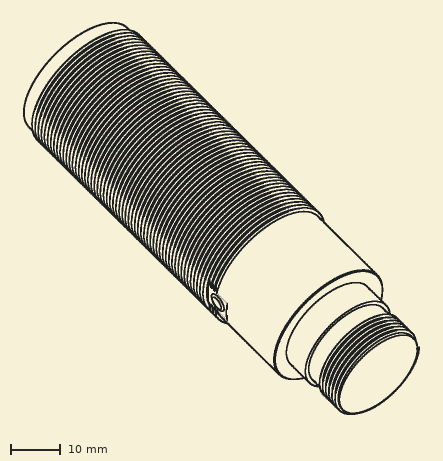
import cadquery as cq
import math

barrel_radius = 14.0
barrel_end = 80.0
barrel_chamfer = 0.2
collar_radius = 10.9
collar_end = 86.0
neck_radius = 10.1
neck_end = 95.8

ridge_base = 0.7
ridge_root = 0.1
barrel_ridge_height = 0.7
barrel_thread_start = 3.0
barrel_thread_length = 58.5
barrel_thread_turns = 59
barrel_thread_stretches = 5
neck_ridge_height = 0.6
neck_thread_turns = 6
overall_length = 96
pitch = barrel_thread_length / barrel_thread_turns

flat_center = 61.5
flat_length = 6.1
flat_depth = 0.3
flat_y = barrel_radius - flat_depth

lamp_base_radius = 2.0
lamp_top_radius = 1.4
lamp_height = 0.3


def make_cylinder(start, end, radius):
    """Round bar along the X axis."""
    return cq.Workplane("YZ", origin=(start, 0, 0)).circle(radius).extrude(end - start)


def root_half_width(height):
    """Half the width of a ridge at its root, inside the core."""
    return ridge_base / 2 * (1 + ridge_root / height)


def make_ridge(core_radius, height, start, turns):
    """Triangular ridge wound around the X axis from the +Y side, rooted in a core."""
    axis_plane = cq.Plane(origin=(start, 0, 0), xDir=(0, 1, 0), normal=(1, 0, 0))
    helix = cq.Wire.makeHelix(pitch, turns * pitch, core_radius).moved(axis_plane.location)
    half_width = root_half_width(height)
    return (
        cq.Workplane("XY")
        .polyline(
            [
                (start - half_width, core_radius - ridge_root),
                (start, core_radius + height),
                (start + half_width, core_radius - ridge_root),
            ]
        )
        .close()
        .sweep(cq.Workplane(helix), isFrenet=True)
    )


def make_barrel_ridges():
    """The barrel ridge as equal stretches, each starting at the angle where the last one ends."""
    stretch_turns = barrel_thread_turns / barrel_thread_stretches
    ridges = []
    for index in range(barrel_thread_stretches):
        turns_before = index * stretch_turns
        start = barrel_thread_start + turns_before * pitch
        ridge = make_ridge(barrel_radius, barrel_ridge_height, start, stretch_turns)
        ridges.append(ridge.rotate((0, 0, 0), (1, 0, 0), 360 * turns_before).val())
    return ridges


def make_flat_cutter():
    """Block that removes everything outside the flat, on the -Y side."""
    cutter_depth = 2 * (flat_depth + barrel_ridge_height)
    return cq.Workplane("XY", origin=(flat_center, -flat_y - cutter_depth / 2, 0)).box(
        flat_length, cutter_depth, 2 * barrel_radius
    )


def make_housing():
    """Threaded barrel with the lamp flat cut across its thread run-out."""
    barrel = make_cylinder(0, barrel_end, barrel_radius).faces(">X").chamfer(barrel_chamfer).solids()
    threaded_barrel = barrel.val().fuse(*make_barrel_ridges())
    return cq.Workplane(threaded_barrel).cut(make_flat_cutter()).solids()


def make_collar():
    """Plain solid disc between the housing and the connector."""
    return make_cylinder(barrel_end, collar_end, collar_radius)


def make_connector():
    """Neck with a short thread whose last turn reaches just past the end face."""
    neck = make_cylinder(collar_end, neck_end, neck_radius)
    thread_length = neck_thread_turns * pitch
    thread_start = overall_length - root_half_width(neck_ridge_height) - thread_length
    ridge = make_ridge(neck_radius, neck_ridge_height, thread_start, neck_thread_turns)
    return neck.union(ridge).solids()


def make_lamp():
    """Cone standing on the flat and pointing to -Y."""
    side_angle = math.degrees(math.atan2(lamp_base_radius - lamp_top_radius, lamp_height))
    return (
        cq.Workplane("XZ", origin=(flat_center, -flat_y, 0))
        .circle(lamp_base_radius)
        .extrude(lamp_height, taper=side_angle)
    )


housing = make_housing()
collar = make_collar()
connector = make_connector()
lamp = make_lamp()

result = cq.Compound.makeCompound([housing.val(), collar.val(), connector.val(), lamp.val()])